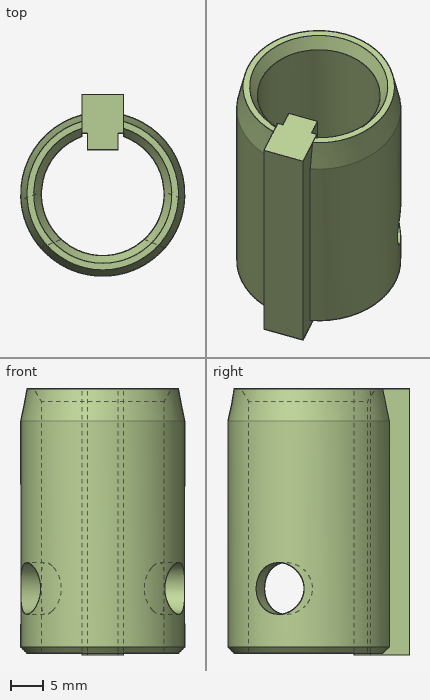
import cadquery as cq

outer_radius = 12.7
bore_radius = 9.5
sleeve_bottom = 0.3
taper_height = 5.0
taper_inset = 1.0
bottom_chamfer = 1.0
mouth_depth = 2.0
mouth_flare = 1.2

key_length = 41.3
key_width = 6.5
key_outer_y = 15.45
key_shoulder_y = 9.4
key_inner_y = 6.85
key_tongue_width = 4.75

hole_radius = 4.0
hole_height = 10.3
hole_angle = 22.5

sleeve_top = key_length


def sleeve_tube():
    """Revolve the wall section, drawn as radius and height."""
    section = [
        (bore_radius, sleeve_bottom),
        (outer_radius - bottom_chamfer, sleeve_bottom),
        (outer_radius, sleeve_bottom + bottom_chamfer),
        (outer_radius, sleeve_top - taper_height),
        (outer_radius - taper_inset, sleeve_top),
        (bore_radius + mouth_flare, sleeve_top),
        (bore_radius, sleeve_top - mouth_depth),
    ]
    return cq.Workplane("XZ").polyline(section).close().revolve(360, (0, 0), (0, 1))


def key_slot():
    """Full-height block that opens the +Y wall from the bore outwards."""
    return cq.Workplane("XY").box(
        key_width, key_outer_y, key_length, centered=(True, False, False)
    )


def side_hole(angle):
    """Cylinder from the sleeve axis outwards, at an angle from +X."""
    return (
        cq.Workplane("YZ")
        .circle(hole_radius)
        .extrude(key_outer_y)
        .rotate((0, 0, 0), (0, 0, 1), angle)
        .translate((0, 0, hole_height))
    )


def make_sleeve():
    sleeve = sleeve_tube().cut(key_slot())
    for angle in (-hole_angle, 180 + hole_angle):
        sleeve = sleeve.cut(side_hole(angle))
    return sleeve


def make_key():
    """T-shaped bar: a wide head in the slot and a narrow tongue in the bore."""
    half_head = key_width / 2
    half_tongue = key_tongue_width / 2
    outline = [
        (-half_head, key_outer_y),
        (half_head, key_outer_y),
        (half_head, key_shoulder_y),
        (half_tongue, key_shoulder_y),
        (half_tongue, key_inner_y),
        (-half_tongue, key_inner_y),
        (-half_tongue, key_shoulder_y),
        (-half_head, key_shoulder_y),
    ]
    return cq.Workplane("XY").polyline(outline).close().extrude(key_length)


sleeve = make_sleeve()
key = make_key()
result = cq.Compound.makeCompound([sleeve.solids().val(), key.val()])